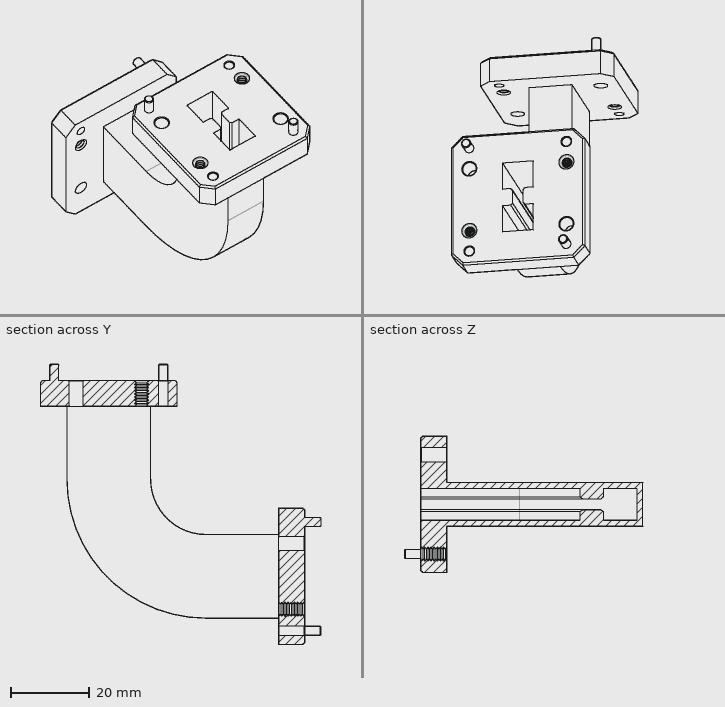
import cadquery as cq

overall = 71.8
flange_width = 35.0
flange_thickness = 6.7
flange_corner_chamfer = 2.95
flange_rim_chamfer = 0.5

tube_width = 21.5
tube_depth = 11.3
bend_radius = 24.85

window_width = 18.7
window_depth = 8.05
ridge_width = 4.5
ridge_gap = 2.7
ridge_edge_chamfer = 0.5

pin_diameter = 2.4
pin_height = 4.2
small_edge_chamfer = 0.2
pin_hole_diameter = pin_diameter
clearance_diameter = 3.5
thread_major_diameter = clearance_diameter
thread_minor_diameter = 2.5
thread_turns = 8
thread_pitch = (flange_thickness - small_edge_chamfer) / thread_turns

pin_half_pitch = 13.9
screw_half_pitch = 8.4
row_half_pitch = 12.7

face_distance = overall - flange_width / 2 - bend_radius - pin_height

top_plane = cq.Plane(origin=(bend_radius, 0, face_distance), xDir=(1, 0, 0), normal=(0, 0, 1))
side_plane = cq.Plane(origin=(-face_distance, 0, -bend_radius), xDir=(0, 0, -1), normal=(-1, 0, 0))
end_planes = (top_plane, side_plane)


def tube_section(plane):
    return cq.Workplane(plane).rect(tube_width, tube_depth)


def window_section(plane):
    """Double-ridged opening: a rectangle with a ridge reaching in from each long side."""
    half_width = window_width / 2
    half_depth = window_depth / 2
    half_ridge = ridge_width / 2
    half_gap = ridge_gap / 2
    quarter = [
        (half_width, half_depth),
        (half_ridge, half_depth),
        (half_ridge, half_gap + ridge_edge_chamfer),
        (half_ridge - ridge_edge_chamfer, half_gap),
    ]
    upper = quarter + [(-x, y) for x, y in reversed(quarter)]
    lower = [(-x, -y) for x, y in upper]
    return cq.Workplane(plane).polyline(upper + lower).close()


def sweep_through_bend(section):
    """Run a section straight down from each flange face and around the bend."""
    bend_start = cq.Plane(origin=(bend_radius, 0, 0), xDir=(1, 0, 0), normal=(0, 0, 1))
    body = section(bend_start).revolve(90, (-bend_radius, 0, 0), (-bend_radius, 1, 0))
    for plane in end_planes:
        body = body.union(section(plane).extrude(-face_distance))
    return body


def flange_plate(plane):
    return (
        cq.Workplane(plane)
        .rect(flange_width, flange_width)
        .extrude(-flange_thickness)
        .edges(cq.selectors.ParallelDirSelector(plane.zDir))
        .chamfer(flange_corner_chamfer)
        .faces(cq.selectors.DirectionMinMaxSelector(plane.zDir))
        .chamfer(flange_rim_chamfer)
    )


def diagonal(half_pitch, side):
    """Two opposite places, on the rising (side = 1) or falling (side = -1) diagonal."""
    return [(half_pitch, side * row_half_pitch), (-half_pitch, -side * row_half_pitch)]


def hole_form(wall):
    """Through hole with a chamfered mouth at the flange face, Z = 0.

    The wall is a list of (radius, z) points from the bottom of the mouth to the flange back.
    """
    mouth_radius = wall[0][0] + small_edge_chamfer
    outline = [(0, 0), (mouth_radius, 0)] + wall + [(0, -flange_thickness)]
    return cq.Workplane("XZ").polyline(outline).close().revolve(360, (0, 0, 0), (0, 1, 0))


def plain_hole_form(diameter):
    radius = diameter / 2
    return hole_form([(radius, -small_edge_chamfer), (radius, -flange_thickness)])


def thread_form():
    """Threaded hole, with the thread as a stack of V-shaped rings."""
    major_radius = thread_major_diameter / 2
    minor_radius = thread_minor_diameter / 2
    wall = [(major_radius, -small_edge_chamfer)]
    for turn in range(thread_turns):
        turn_top = -small_edge_chamfer - turn * thread_pitch
        wall.append((minor_radius, turn_top - thread_pitch / 2))
        wall.append((major_radius, turn_top - thread_pitch))
    return hole_form(wall)


def cut_holes(body, plane):
    for form, half_pitch, side in (
        (plain_hole_form(pin_hole_diameter), pin_half_pitch, -1),
        (plain_hole_form(clearance_diameter), screw_half_pitch, 1),
        (thread_form(), screw_half_pitch, -1),
    ):
        for x, y in diagonal(half_pitch, side):
            cutter = form.translate((x, y, 0)).val().moved(plane.location)
            body = body.cut(cq.Workplane(cutter))
    return body


def pins(plane):
    return (
        cq.Workplane(plane)
        .pushPoints(diagonal(pin_half_pitch, 1))
        .circle(pin_diameter / 2)
        .extrude(pin_height)
        .faces(cq.selectors.DirectionMinMaxSelector(plane.zDir))
        .chamfer(small_edge_chamfer)
    )


result = sweep_through_bend(tube_section)
for end_plane in end_planes:
    result = result.union(flange_plate(end_plane))
result = result.cut(sweep_through_bend(window_section))
for end_plane in end_planes:
    result = cut_holes(result, end_plane).union(pins(end_plane))